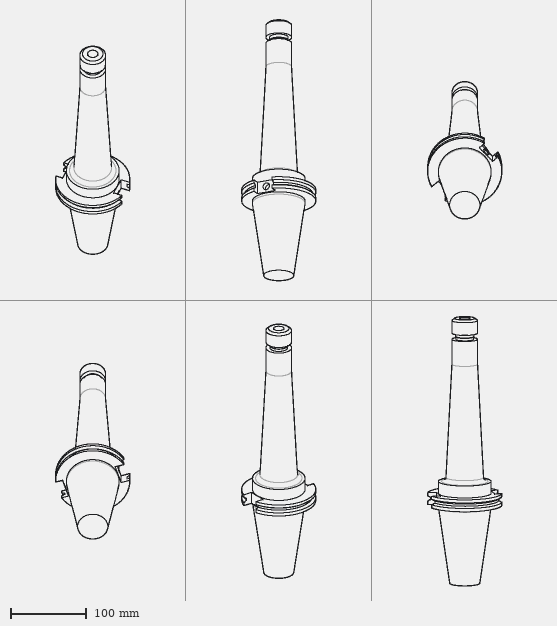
import cadquery as cq
import math

total_height = 355.5
gauge_height = 101.7
flange_bottom = 105.0
flange_top = 121.0
hub_top = 137.0
cone_top = 294.0
shank_top = 327.5
neck_step = 330.7
neck_step_top = 331.5
head_bottom = 335.7

gauge_radius = 35.0
taper_ratio = 7 / 24
taper_end_radius = gauge_radius - gauge_height * taper_ratio / 2
flange_radius = 49.0
hub_radius = 35.0
cone_base_radius = 25.2
shank_radius = 17.0
lower_neck_radius = 11.7
upper_neck_radius = 12.5

fillet_radius = 5.7
selection_margin = 0.5

bevel_width = 3.5
bevel_height = 3.0

groove_middle = 113.0
groove_floor_radius = 45.0
groove_floor_width = 3.0
groove_wall_angle = 30

slot_width = 26.3
left_slot_floor = 37.7
right_slot_floor = 35.2

bore_radius = 6.8
bore_depth = 21.5
side_hole_radius = 4.5
side_hole_depth = 7.0


def make_turned_body():
    """Taper, flange, hub, cone, shank, necks and head as one revolved profile."""
    profile = [
        (0, 0),
        (taper_end_radius, 0),
        (gauge_radius, gauge_height),
        (gauge_radius, flange_bottom),
        (flange_radius, flange_bottom),
        (flange_radius, flange_top),
        (hub_radius, flange_top),
        (hub_radius, hub_top),
        (cone_base_radius, hub_top),
        (shank_radius, cone_top),
        (shank_radius, shank_top),
        (lower_neck_radius, shank_top),
        (lower_neck_radius, neck_step),
        (upper_neck_radius, neck_step_top),
        (upper_neck_radius, head_bottom),
        (shank_radius, head_bottom),
        (shank_radius, total_height - bevel_height),
        (shank_radius - bevel_width, total_height),
        (0, total_height),
    ]
    body = cq.Workplane("XZ").polyline(profile).close().revolve(360, (0, 0), (0, 1))
    hub_face_zone = cq.selectors.BoxSelector(
        (-hub_radius, -hub_radius, hub_top - selection_margin),
        (hub_radius, hub_radius, hub_top + selection_margin),
    )
    cone_foot = cq.selectors.RadiusNthSelector(0)
    return body.edges(hub_face_zone).edges(cone_foot).fillet(fillet_radius)


def make_groove():
    """Ring with a V section and a narrow flat floor."""
    floor_half = groove_floor_width / 2
    wall_rise = (flange_radius - groove_floor_radius) * math.tan(math.radians(groove_wall_angle))
    mouth_half = floor_half + wall_rise
    section = [
        (groove_floor_radius, groove_middle - floor_half),
        (flange_radius, groove_middle - mouth_half),
        (flange_radius, groove_middle + mouth_half),
        (groove_floor_radius, groove_middle + floor_half),
    ]
    return cq.Workplane("XZ").polyline(section).close().revolve(360, (0, 0), (0, 1))


def make_drive_slot(side, floor_distance):
    """Slot through the full flange thickness; side is -1 for -X and +1 for +X."""
    depth = flange_radius - floor_distance
    height = flange_top - flange_bottom
    middle = side * (floor_distance + depth / 2)
    return (
        cq.Workplane("XY")
        .box(depth, slot_width, height, centered=(True, True, False))
        .translate((middle, 0, flange_bottom))
    )


def make_side_hole():
    """Blind radial hole in the floor of the -X slot."""
    return (
        cq.Workplane("YZ", origin=(-left_slot_floor, 0, groove_middle))
        .circle(side_hole_radius)
        .extrude(side_hole_depth)
    )


def make_bore():
    """Blind axial hole in the head."""
    return (
        cq.Workplane("XY", origin=(0, 0, total_height - bore_depth))
        .circle(bore_radius)
        .extrude(bore_depth)
    )


result = (
    make_turned_body()
    .cut(make_groove())
    .cut(make_drive_slot(-1, left_slot_floor))
    .cut(make_drive_slot(1, right_slot_floor))
    .cut(make_side_hole())
    .cut(make_bore())
)